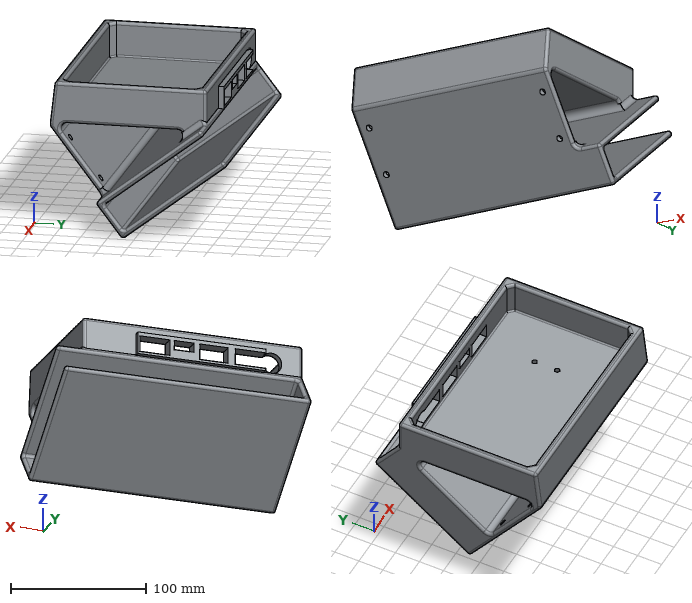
import cadquery as cq
import math

body_length = 172.6
arm_length = 194.0

wall = 4.7
wall_end_flat = 0.04
edge_radius = (wall - wall_end_flat) / 2
inner_radius = 4.7

arm_tilt = 37.5
arm_depth = 99.9
arm_height = 33.2
arm_toe_y = 59.4
arm_toe_z = -1.0

top_z = 110.5
front_top_y = 3.7
front_nose_y = -0.2

pocket_x = (6.0, 166.8)
pocket_y = (9.7, 112.5)
pocket_floor_z = 84.2
pocket_corner = 4.5
floor_radius = 1.2

opening_top_z = 79.5

shroud_x = (30.6, 131.3)
shroud_z = (85.7, 102.8)
shroud_back_y = 122.8
large_ports_x = ((28.1, 54.7), (60.3, 82.6), (106.3, 129.8))
large_ports_z = (87.7, 99.9)
small_port_x = (87.0, 102.8)
small_port_z = (92.7, 99.9)
jack_x = 24.6
jack_z = 94.0
jack_radius = 8.0

floor_hole_x = 126.3
floor_holes_y = (51.8, 70.6)
floor_hole_diameter = 3.9
front_holes_x = (9.7, 163.0)
front_holes_z = (33.5, 63.5)
front_hole_diameter = 4.7

tolerance = 0.02
tilt = math.radians(arm_tilt)


def arm_point(back, up):
    """(Y, Z) of a point given by its distances back along the arm and up across it."""
    y = arm_toe_y + back * math.cos(tilt) - up * math.sin(tilt)
    z = arm_toe_z + back * math.sin(tilt) + up * math.cos(tilt)
    return y, z


def height_across_arm(point):
    """Distance of a point above the underside of the arm."""
    return (point.z - arm_toe_z) * math.cos(tilt) - (point.y - arm_toe_y) * math.sin(tilt)


def tilt_into_place(solid):
    """Move a solid built level, with the arm's toe at the origin, to its tilted place."""
    return solid.rotate((0, 0, 0), (1, 0, 0), arm_tilt).translate((0, arm_toe_y, arm_toe_z))


def block(x_range, y_range, z_range):
    """Box between pairs of X, Y and Z limits."""
    starts, ends = zip(x_range, y_range, z_range)
    sizes = [end - start for start, end in zip(starts, ends)]
    return cq.Workplane("XY").box(*sizes, centered=False).translate(starts)


def side_prism(outline, x_start, x_end):
    """Solid with a (Y, Z) outline, running along X."""
    return cq.Workplane("YZ", origin=(x_start, 0, 0)).polyline(outline).close().extrude(x_end - x_start)


def fillet_where(solid, radius, test):
    """Round the edges whose ends and middle all pass the test."""
    def passes(edge):
        return all(test(edge.positionAt(t)) for t in (0, 0.5, 1))

    return solid.newObject([edge for edge in solid.edges().vals() if passes(edge)]).fillet(radius)


def near(value, target):
    return abs(value - target) < tolerance


heel_y, heel_z = arm_point(arm_depth, arm_height)
nose_up = (arm_toe_y - front_nose_y) / math.sin(tilt)
nose_y, nose_z = arm_point(0, nose_up)


def make_arm():
    """Level arm: a rounded box hollowed by a slot that is open at its back and its +X end."""
    arm = block((0, arm_length), (0, arm_depth), (0, arm_height)).edges().fillet(edge_radius)
    slot_z = (wall, arm_height - wall)
    slot = block((wall, 2 * arm_length), (wall, 2 * arm_depth), slot_z).edges().fillet(edge_radius)

    def on_mouth(p):
        in_x = p.x > wall - tolerance
        in_y = p.y > wall - tolerance
        in_z = slot_z[0] - tolerance < p.z < slot_z[1] + tolerance
        return in_x and in_y and in_z and (near(p.x, arm_length) or near(p.y, arm_depth))

    return fillet_where(arm.cut(slot), edge_radius, on_mouth)


def make_corner_fillet():
    """Level concave rounding between the arm's top and the end of the body."""
    r = inner_radius
    corner = (
        cq.Workplane("XZ", origin=(body_length, 0, arm_height))
        .moveTo(-r, -edge_radius)
        .lineTo(-r, r)
        .lineTo(0, r)
        .radiusArc((r, 0), -r)
        .lineTo(r, -edge_radius)
        .close()
        .extrude(-arm_depth)
    )
    return corner.faces("<Y or >Y").edges("%CIRCLE").fillet(edge_radius)


def opening_prism(x_start, x_end):
    """Triangular prism with rounded corners, lying on top of the arm."""
    top_rise = opening_top_z - arm_toe_z
    back_at_top = (top_rise - arm_height * math.cos(tilt)) / math.sin(tilt)
    up_at_front = (top_rise - wall * math.sin(tilt)) / math.cos(tilt)
    outline = [
        arm_point(wall, arm_height),
        arm_point(back_at_top, arm_height),
        arm_point(wall, up_at_front),
    ]
    return side_prism(outline, x_start, x_end).edges("|X").fillet(inner_radius)


def make_body():
    """Solid tray body, reaching down into the roof of the arm's slot."""
    bottom_up = arm_height - wall / 2
    outline = [
        arm_point(0, bottom_up),
        arm_point(arm_depth, bottom_up),
        (heel_y, heel_z),
        (heel_y, top_z),
        (front_top_y, top_z),
        (nose_y, nose_z),
    ]
    body = side_prism(outline, 0, body_length)
    body = fillet_where(body, inner_radius, lambda p: near(p.y, nose_y) and near(p.z, nose_z))

    def above_bottom(edge):
        return height_across_arm(edge.Center()) > bottom_up + tolerance

    outer_edges = body.faces("<X or >X or >Z").edges().vals()
    return body.newObject([edge for edge in outer_edges if above_bottom(edge)]).fillet(edge_radius)


def round_inner_rim(solid, face):
    """Round the edge of the single opening in a flat face."""
    rim = solid.faces(face).vals()[0].innerWires()[0]
    return solid.newObject(rim.Edges()).fillet(edge_radius)


def cut_pocket(body):
    """Tray pocket with chamfered corners, a rounded floor edge and a rounded rim."""
    pocket = block(pocket_x, pocket_y, (pocket_floor_z, 2 * top_z))
    pocket = pocket.edges("|Z").chamfer(pocket_corner).faces("<Z").edges().fillet(floor_radius)
    return round_inner_rim(body.cut(pocket), ">Z")


def cut_ports(case):
    """Rectangular ports through the back wall and shroud, and a round jack hole."""
    port_y = (pocket_y[1] - wall / 2, 2 * shroud_back_y)
    for port_x in large_ports_x:
        case = case.cut(block(port_x, port_y, large_ports_z))
    case = case.cut(block(small_port_x, port_y, small_port_z))
    jack = cq.Workplane("XZ", origin=(jack_x, port_y[0], jack_z)).circle(jack_radius)
    return case.cut(jack.extrude(port_y[0] - port_y[1]))


def cut_screw_holes(case):
    """Holes through the tray floor and through the slanted front wall."""
    floor_points = [(floor_hole_x, y) for y in floor_holes_y]
    floor_depth = pocket_floor_z - opening_top_z + wall
    case = case.cut(
        cq.Workplane("XY", origin=(0, 0, opening_top_z - wall / 2))
        .pushPoints(floor_points)
        .circle(floor_hole_diameter / 2)
        .extrude(floor_depth)
    )
    front_points = [(x, (z - arm_toe_z) / math.cos(tilt)) for x in front_holes_x for z in front_holes_z]
    front_cutter_length = 3 * wall
    holes = (
        cq.Workplane("XZ", origin=(0, -wall, 0))
        .pushPoints(front_points)
        .circle(front_hole_diameter / 2)
        .extrude(-front_cutter_length)
    )
    return case.cut(tilt_into_place(holes))


body = cut_pocket(make_body())
body = round_inner_rim(body.cut(opening_prism(-wall, arm_length)), ">X")

case = body.union(tilt_into_place(make_arm())).union(tilt_into_place(make_corner_fillet()))
case = round_inner_rim(case.cut(opening_prism(-wall, arm_length)), "<X")

shroud = block(shroud_x, (pocket_y[1] + wall / 2, shroud_back_y), shroud_z)
case = cut_ports(case.union(shroud))
result = cut_screw_holes(case)